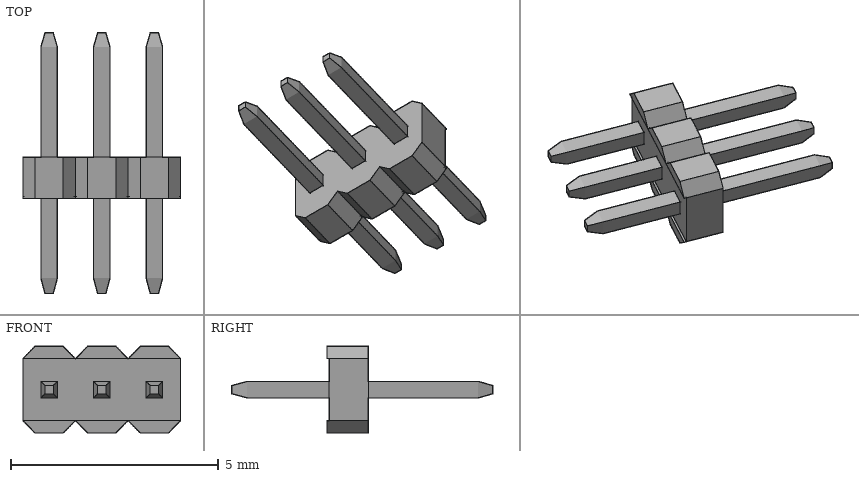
import cadquery as cq

pin_count = 3
housing_width = 3.81
pitch = housing_width / pin_count
overall_length = 6.3

housing_back = 0.145
housing_depth = 1.0
housing_height = 2.1
ridge_height = 0.3
ridge_top_width = 0.68
recess_depth = 0.055
ridge_nose_gap = 0.0005
housing_front = housing_back - housing_depth
core_height = housing_height - 2 * ridge_height
recess_height = core_height + 2 * ridge_nose_gap

pin_width = 0.405
pin_tip_width = 0.2
front_taper_length = 0.37
back_taper_length = 0.345
pin_front = -overall_length / 2
pin_back = overall_length / 2
shank_front = pin_front + front_taper_length
shank_back = pin_back - back_taper_length

pin_positions = [(i - (pin_count - 1) / 2) * pitch for i in range(pin_count)]


def cross_section(y, x=0):
    """Sketch plane across the pins at the given Y, centred at x, with its normal along +Y."""
    return cq.Workplane(cq.Plane(origin=(x, y, 0), xDir=(-1, 0, 0), normal=(0, 1, 0)))


def ridged_edge(side):
    """Points from left to right along the top (side = 1) or bottom (side = -1) of the housing."""
    valley = side * core_height / 2
    crest = side * housing_height / 2
    points = [(-housing_width / 2, valley)]
    for x in pin_positions:
        points.append((x - ridge_top_width / 2, crest))
        points.append((x + ridge_top_width / 2, crest))
        points.append((x + pitch / 2, valley))
    return points


def make_housing():
    """Block with a ridge above and below each pin, a recessed front face and square pin holes."""
    outline = ridged_edge(1) + ridged_edge(-1)[::-1]
    block = cross_section(housing_front).polyline(outline).close().extrude(housing_depth)
    recess = cross_section(housing_front).rect(housing_width, recess_height).extrude(recess_depth)
    housing = block.cut(recess)
    for x in pin_positions:
        hole = cross_section(housing_front, x).rect(pin_width, pin_width).extrude(housing_depth)
        housing = housing.cut(hole)
    return housing


def make_taper(x, y, length, front_width, back_width):
    """Square frustum along Y, from front_width at y to back_width at y + length."""
    return (
        cross_section(y, x)
        .rect(front_width, front_width)
        .workplane(offset=length)
        .rect(back_width, back_width)
        .loft(ruled=True)
    )


def make_pin(x):
    """Square pin centred at x, tapering to a smaller square at both ends."""
    shank = cross_section(shank_front, x).rect(pin_width, pin_width).extrude(shank_back - shank_front)
    front_taper = make_taper(x, pin_front, front_taper_length, pin_tip_width, pin_width)
    back_taper = make_taper(x, shank_back, back_taper_length, pin_width, pin_tip_width)
    return shank.union(front_taper).union(back_taper)


housing = make_housing()
pins = [make_pin(x) for x in pin_positions]

result = cq.Compound.makeCompound([housing.solids().val(), *[pin.solids().val() for pin in pins]])